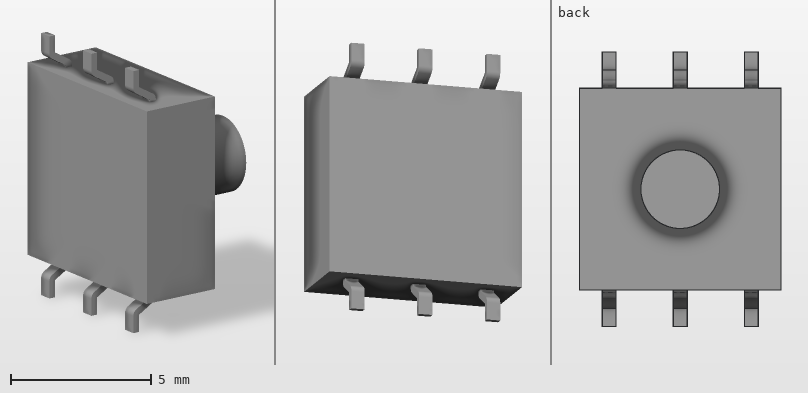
import cadquery as cq
import math

body_side = 7.2
body_depth = 3.0

button_diameter = 2.8
button_length = 3.0

lead_count = 3
lead_pitch = 2.54
lead_width = 0.5
lead_thickness = 0.25
lead_tip_z = 4.9
foot_length = 0.65
root_bend_y = 0.735
slope_angle = math.radians(30)


def arc_point(center, angle):
    """Point at the outer bend radius, which equals the lead thickness."""
    y, z = center
    return (y + lead_thickness * math.cos(angle), z + lead_thickness * math.sin(angle))


def make_lead(x_center):
    """Upper lead: a foot, a sloped run and a short root standing on the body."""
    body_top = body_side / 2
    foot_corner = (lead_thickness, lead_tip_z - foot_length)
    bend_offset_y = root_bend_y - lead_thickness
    bend_drop = (lead_thickness + bend_offset_y * math.sin(slope_angle)) / math.cos(slope_angle)
    root_corner = (root_bend_y, foot_corner[1] - bend_drop)

    root_normal = math.pi / 2 - slope_angle
    foot_normal = root_normal + math.pi
    foot_mid_angle = (foot_normal + math.pi) / 2

    profile = (
        cq.Workplane("YZ", origin=(x_center - lead_width / 2, 0, 0))
        .moveTo(0, lead_tip_z)
        .lineTo(0, foot_corner[1])
        .threePointArc(arc_point(foot_corner, foot_mid_angle), arc_point(foot_corner, foot_normal))
        .lineTo(*root_corner)
        .lineTo(root_bend_y, body_top)
        .lineTo(root_bend_y + lead_thickness, body_top)
        .lineTo(root_bend_y + lead_thickness, root_corner[1])
        .threePointArc(arc_point(root_corner, root_normal / 2), arc_point(root_corner, root_normal))
        .lineTo(*foot_corner)
        .lineTo(lead_thickness, lead_tip_z)
        .close()
    )
    return profile.extrude(lead_width)


body = cq.Workplane("XY").box(body_side, body_depth, body_side, centered=(True, False, True))

button = (
    cq.Workplane("XZ", origin=(0, body_depth, 0))
    .circle(button_diameter / 2)
    .extrude(-button_length)
)

result = body.union(button)
for index in range(lead_count):
    lead = make_lead((index - (lead_count - 1) / 2) * lead_pitch)
    result = result.union(lead).union(lead.mirror("XY"))